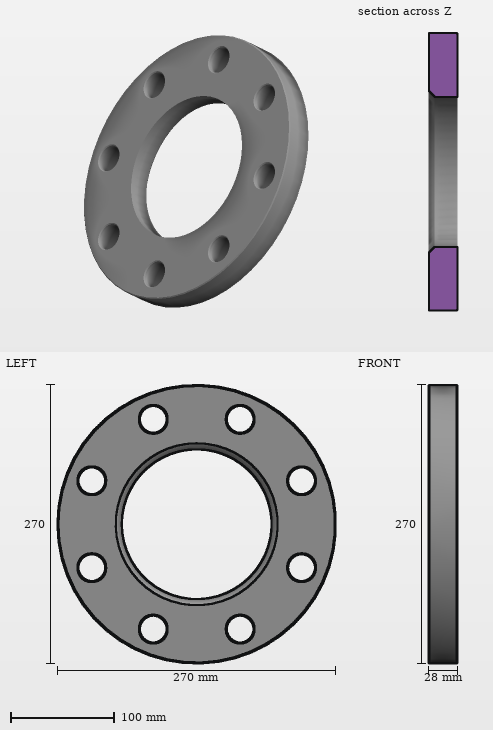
import cadquery as cq

outer_diameter = 270.0
thickness = 28.0
bore_diameter = 145.0
bore_chamfer = 6.0
rim_chamfer = 1.0
bolt_circle_diameter = 220.0
bolt_hole_diameter = 26.0
bolt_hole_count = 8
bolt_hole_chamfer = 1.0

end_faces = "|X"


def make_ring():
    """Flat ring lying across the X axis, with its rim edges broken on both faces."""
    disc = cq.Workplane("YZ").circle(outer_diameter / 2).extrude(thickness)
    disc = disc.faces(end_faces).edges().chamfer(rim_chamfer)
    bore = cq.Workplane("YZ").circle(bore_diameter / 2).extrude(thickness)
    return disc.cut(bore)


def chamfer_bore(ring):
    """Wide 45 degree lead-in at the -X end of the bore."""
    mouth_radius = bore_diameter / 2 + bore_chamfer
    cone = cq.Solid.makeCone(
        mouth_radius,
        bore_diameter / 2,
        bore_chamfer,
        pnt=cq.Vector(0, 0, 0),
        dir=cq.Vector(1, 0, 0),
    )
    return ring.cut(cq.Workplane(cone))


def make_bolt_hole_cutter():
    """Round cutter along X that widens to a small chamfer at both faces."""
    radius = bolt_hole_diameter / 2
    mouth_radius = radius + bolt_hole_chamfer
    profile = [
        (0, 0),
        (0, mouth_radius),
        (bolt_hole_chamfer, radius),
        (thickness - bolt_hole_chamfer, radius),
        (thickness, mouth_radius),
        (thickness, 0),
    ]
    return cq.Workplane("XY").polyline(profile).close().revolve(360, (0, 0, 0), (1, 0, 0))


def cut_bolt_holes(ring):
    """Bolt holes evenly spaced, straddling the Y and Z axes."""
    pitch_angle = 360.0 / bolt_hole_count
    cutter = make_bolt_hole_cutter().translate((0, bolt_circle_diameter / 2, 0))
    for index in range(bolt_hole_count):
        angle = (index + 0.5) * pitch_angle
        ring = ring.cut(cutter.rotate((0, 0, 0), (1, 0, 0), angle))
    return ring


result = cut_bolt_holes(chamfer_bore(make_ring()))